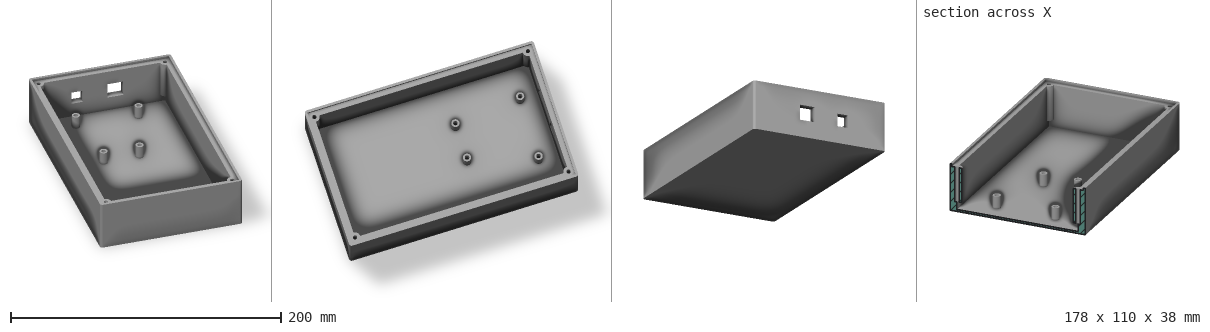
import cadquery as cq

LENGTH = 178.0
WIDTH = 110.0
HEIGHT = 38.0
CORNER_RADIUS = 2.0

WALL = 6.0
FLOOR = 2.0
RIM_WALL = 2.0
RIM_DEPTH = 2.0

PILLAR_RADIUS = 4.0
SCREW_HOLE_DIAMETER = 3.2
PILLAR_BOTTOM = 8.0

STANDOFF_DIAMETER = 6.0
STANDOFF_HOLE_DIAMETER = 3.4
STANDOFF_HEIGHT = 10.0
STANDOFF_POSITIONS = [(-67.8, 23.7), (-69.0, -24.5), (-17.0, 8.5), (-17.0, -19.4)]

WINDOW_SILL = 13.2
WINDOWS = [(10.5, 12.3, 11.7), (-19.2, 8.7, 9.8)]

CAVITY_LENGTH = LENGTH - 2 * WALL
CAVITY_WIDTH = WIDTH - 2 * WALL
LEDGE_Z = HEIGHT - RIM_DEPTH


def block(length, width, bottom, top):
    """Box centred on the Z axis, spanning bottom to top."""
    return cq.Workplane("XY", origin=(0, 0, bottom)).rect(length, width).extrude(top - bottom)


def cylinders(positions, diameter, bottom, top):
    """Upright cylinders of one diameter at the given XY positions."""
    plane = cq.Workplane("XY", origin=(0, 0, bottom))
    return plane.pushPoints(positions).circle(diameter / 2).extrude(top - bottom)


def window(center_y, width, height):
    """Cutter for a rectangular opening through the -X wall."""
    return cq.Workplane("XY").box(WALL, width, height, centered=(False, True, False)).translate(
        (-LENGTH / 2, center_y, WINDOW_SILL)
    )


result = block(LENGTH, WIDTH, 0, HEIGHT).edges("|Z").fillet(CORNER_RADIUS)
result = result.cut(block(CAVITY_LENGTH, CAVITY_WIDTH, FLOOR, HEIGHT))

cavity_corners = [
    (x_side * CAVITY_LENGTH / 2, y_side * CAVITY_WIDTH / 2)
    for x_side in (-1, 1)
    for y_side in (-1, 1)
]
result = result.union(cylinders(cavity_corners, 2 * PILLAR_RADIUS, PILLAR_BOTTOM, LEDGE_Z))

result = result.cut(block(LENGTH - 2 * RIM_WALL, WIDTH - 2 * RIM_WALL, LEDGE_Z, HEIGHT))
result = result.cut(cylinders(cavity_corners, SCREW_HOLE_DIAMETER, PILLAR_BOTTOM, LEDGE_Z))

standoff_top = FLOOR + STANDOFF_HEIGHT
result = result.union(cylinders(STANDOFF_POSITIONS, STANDOFF_DIAMETER, FLOOR, standoff_top))
result = result.cut(cylinders(STANDOFF_POSITIONS, STANDOFF_HOLE_DIAMETER, FLOOR, standoff_top))

for center_y, width, height in WINDOWS:
    result = result.cut(window(center_y, width, height))